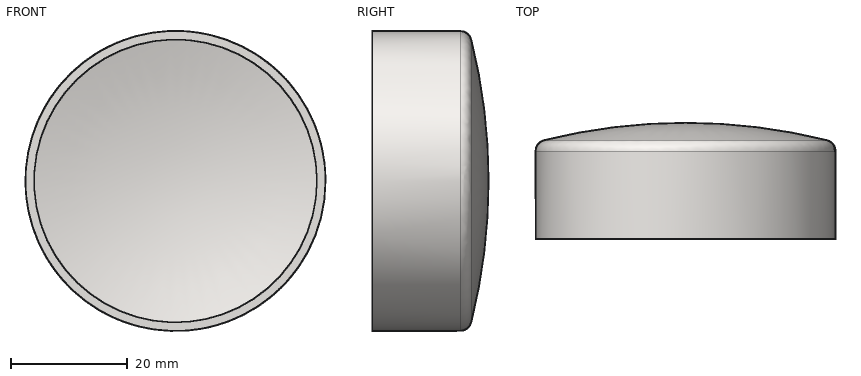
import cadquery as cq
import math

outer_diameter = 51.5
overall_depth = 20.0
wall = 1.5
crown_radius = 100.0
shoulder_fillet = 2.0

outer_radius = outer_diameter / 2


def domed_cylinder(radius, depth, dome_radius):
    """Cylinder along +Y, flat at y = 0, closed by a spherical dome whose apex is at y = depth."""
    dome_centre = depth - dome_radius
    edge_angle = math.asin(radius / dome_radius)
    middle_angle = edge_angle / 2
    dome_edge = (radius, dome_centre + dome_radius * math.cos(edge_angle))
    dome_middle = (
        dome_radius * math.sin(middle_angle),
        dome_centre + dome_radius * math.cos(middle_angle),
    )
    half_profile = (
        cq.Workplane("XY")
        .lineTo(radius, 0)
        .lineTo(*dome_edge)
        .threePointArc(dome_middle, (0, depth))
        .close()
    )
    return half_profile.revolve(360, (0, 0, 0), (0, 1, 0))


body = domed_cylinder(outer_radius, overall_depth, crown_radius)
body = body.faces("%CYLINDER").edges(">Y").fillet(shoulder_fillet)

cavity = domed_cylinder(outer_radius - wall, overall_depth - wall, crown_radius - wall)

result = body.cut(cavity)